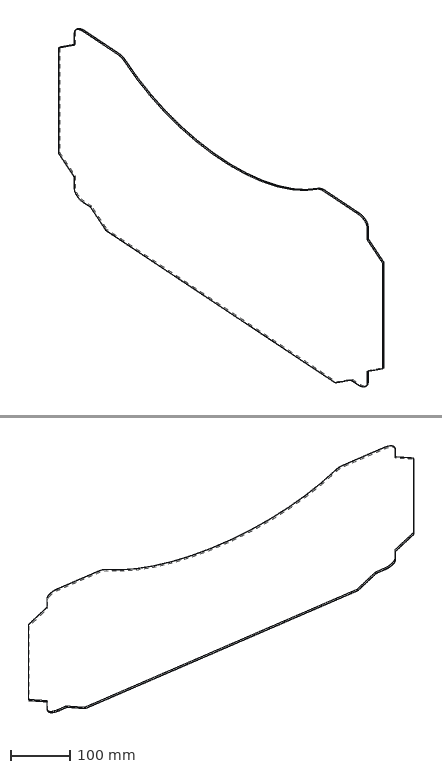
import cadquery as cq
import math

width = 720.0
height = 485.0
thickness = 3.0

step = 34.5
half_width = width / 2
shoulder_x = half_width - step
top_z = height / 2
bottom_z = -top_z
shoulder_z = bottom_z + step
side_top_z = 156.0
side_bottom_z = -122.5
bottom_edge_half = 255.0

corner_radius = 20.0
cutout_radius = 298.0
cutout_depth = 97.0
cutout_blend_radius = 20.0

cutout_center_z = top_z - cutout_depth + cutout_radius
cutout_half = math.sqrt(cutout_radius**2 - (cutout_center_z - top_z) ** 2)

right_side = [
    (bottom_edge_half, bottom_z),
    (bottom_edge_half + step, shoulder_z),
    (shoulder_x, shoulder_z),
    (shoulder_x, side_bottom_z - step),
    (half_width, side_bottom_z),
    (half_width, side_top_z),
    (shoulder_x, side_top_z + step),
    (shoulder_x, top_z),
    (cutout_half, top_z),
]
left_side = [(-x, z) for x, z in reversed(right_side)]


def round_edges(plate, points, radius):
    """Fillet the through-thickness edges at the given (x, z) points, mirrored in X."""
    for x, z in points:
        for side in (-1, 1):
            nearest = cq.selectors.NearestToPointSelector((side * x, 0, z))
            plate = plate.edges("|Y").edges(nearest).fillet(radius)
    return plate


plate = (
    cq.Workplane("XZ")
    .polyline(right_side)
    .threePointArc((0, top_z - cutout_depth), left_side[0])
    .polyline(left_side[1:], includeCurrent=True)
    .close()
    .extrude(thickness / 2, both=True)
)

plate = round_edges(plate, [(shoulder_x, shoulder_z), (shoulder_x, top_z)], corner_radius)
result = round_edges(plate, [(cutout_half, top_z)], cutout_blend_radius)